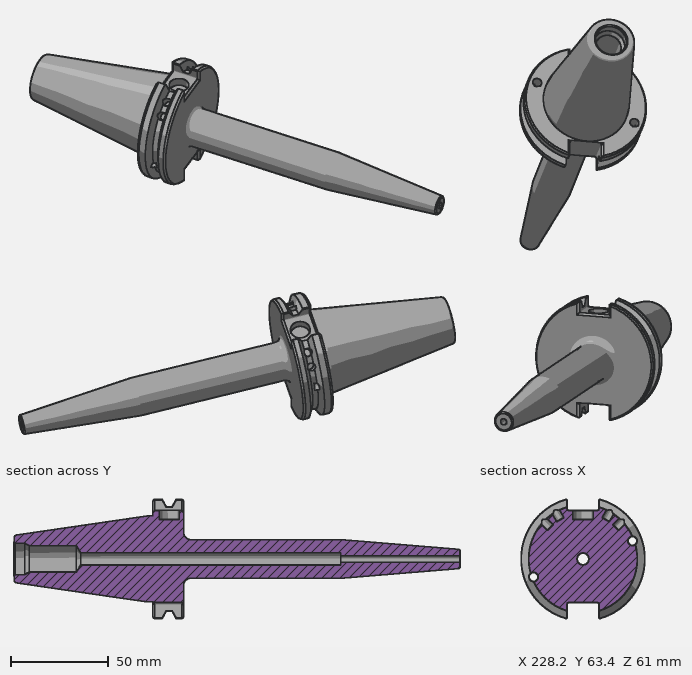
import cadquery as cq
import math

total_length = 228.2
gauge_x = 68.2
gauge_radius = 22.1
taper_ratio = 7 / 24
small_end_radius = gauge_radius - gauge_x * taper_ratio / 2
small_end_fillet = 1.5

flange_start = 71.0
flange_width = 16.0
flange_end = flange_start + flange_width
flange_radius = 31.7
rim_bevel_length = 1.1
rim_bevel_depth = 0.7
groove_x = 79.5
groove_floor_radius = 27.8
groove_floor_width = 3.0
groove_flank_angle = 30

shank_radius = 10.0
shank_fillet = 3.5
nose_tip_radius = 5.0
nose_chamfer = 0.7
nose_length = 61.2

socket_radius = 8.0
socket_mouth_chamfer = 0.7
socket_depth = 5.5
thread_radius = 6.6
thread_end = 32.0
thread_lead_angle = 30
drill_point_angle = 118
channel_radius = 3.0
tip_bore_radius = 1.5

slot_width = 16.2
upper_slot_floor = 24.9
lower_slot_floor = 22.4
slot_end_chamfer = 1.1
slot_rim_chamfer = 0.5
slot_corner_fillet = 1.0
slot_clearance = 2.3

pocket_diameter = 10.0
pocket_depth = 4.5

coolant_diameter = 4.5
coolant_circle_radius = 27.0
coolant_angle = 20
screw_diameter = 4.0
screw_depth = 4.5
screw_angles = (30, 46)


def turned_body():
    """Taper, flange, shank and nose turned about the X axis."""
    floor_half = groove_floor_width / 2
    flank_rise = flange_radius - groove_floor_radius
    lip_half = floor_half + flank_rise * math.tan(math.radians(groove_flank_angle))
    outline = (
        cq.Workplane("XZ")
        .lineTo(0, small_end_radius)
        .lineTo(gauge_x, gauge_radius)
        .lineTo(flange_start, gauge_radius)
        .lineTo(flange_start, flange_radius - rim_bevel_depth)
        .lineTo(flange_start + rim_bevel_length, flange_radius)
        .lineTo(groove_x - lip_half, flange_radius)
        .lineTo(groove_x - floor_half, groove_floor_radius)
        .lineTo(groove_x + floor_half, groove_floor_radius)
        .lineTo(groove_x + lip_half, flange_radius)
        .lineTo(flange_end - rim_bevel_length, flange_radius)
        .lineTo(flange_end, flange_radius - rim_bevel_depth)
        .lineTo(flange_end, shank_radius + shank_fillet)
        .radiusArc((flange_end + shank_fillet, shank_radius), -shank_fillet)
        .lineTo(total_length - nose_length, shank_radius)
        .lineTo(total_length, nose_tip_radius)
        .lineTo(total_length, 0)
        .close()
    )
    body = outline.revolve(360, (0, 0, 0), (1, 0, 0))
    body = body.faces("<X").edges().fillet(small_end_fillet)
    return body.faces(">X").edges().chamfer(nose_chamfer)


def axial_bores():
    """Stepped bore from the small end of the taper through to the nose tip."""
    lead_length = (socket_radius - thread_radius) / math.tan(math.radians(thread_lead_angle))
    point_length = (thread_radius - channel_radius) / math.tan(math.radians(drill_point_angle / 2))
    tip_bore_start = total_length - nose_length
    return (
        cq.Workplane("XZ")
        .lineTo(0, socket_radius + socket_mouth_chamfer)
        .lineTo(socket_mouth_chamfer, socket_radius)
        .lineTo(socket_depth, socket_radius)
        .lineTo(socket_depth + lead_length, thread_radius)
        .lineTo(thread_end, thread_radius)
        .lineTo(thread_end + point_length, channel_radius)
        .lineTo(tip_bore_start, channel_radius)
        .lineTo(tip_bore_start, tip_bore_radius)
        .lineTo(total_length, tip_bore_radius)
        .lineTo(total_length, 0)
        .close()
        .revolve(360, (0, 0, 0), (1, 0, 0))
    )


def slot(floor, floor_end_chamfer):
    """Cutter for a drive slot opening toward +Z, flared where it meets both flange faces."""
    half = slot_width / 2
    top = flange_radius + slot_clearance
    rim_half = half + slot_rim_chamfer
    rim_height = math.sqrt(flange_radius**2 - rim_half**2)
    bevel_start = rim_height - slot_rim_chamfer
    top_half = half + top - bevel_start
    profile = [(half, floor), (half, bevel_start), (top_half, top)]
    profile += [(-y, z) for y, z in reversed(profile)]
    cutter = cq.Workplane("YZ", origin=(flange_start, 0, 0)).polyline(profile).close()
    cutter = cutter.extrude(flange_width)
    cutter = cutter.edges("|X and <Z").fillet(slot_corner_fillet)

    flare_bottom = floor - floor_end_chamfer
    flare_height = top + slot_end_chamfer - flare_bottom
    flare = (
        cq.Workplane("YZ")
        .center(0, flare_bottom + flare_height / 2)
        .rect(slot_width + 2 * slot_end_chamfer, flare_height)
        .extrude(slot_end_chamfer, taper=45)
    )
    front_flare = flare.translate((flange_start, 0, 0))
    back_flare = flare.mirror("YZ").translate((flange_end, 0, 0))
    return cutter.union(front_flare).union(back_flare)


def slot_floor_pocket():
    """Round blind pocket in the upper slot floor, in line with the groove."""
    pocket = cq.Workplane("XY", origin=(groove_x, 0, upper_slot_floor - pocket_depth))
    return pocket.circle(pocket_diameter / 2).extrude(pocket_depth)


def radial_hole(angle):
    """Blind hole in the groove floor, tilted from the Z axis toward +Y."""
    bottom = groove_floor_radius - screw_depth
    hole = cq.Workplane("XY", origin=(groove_x, 0, bottom)).circle(screw_diameter / 2)
    hole = hole.extrude(flange_radius - bottom)
    return hole.rotate((0, 0, 0), (1, 0, 0), -angle)


def coolant_hole(angle):
    """Hole along X from the front flange face into the groove."""
    y = coolant_circle_radius * math.cos(math.radians(angle))
    z = coolant_circle_radius * math.sin(math.radians(angle))
    return (
        cq.Workplane("YZ", origin=(flange_start, 0, 0))
        .center(y, z)
        .circle(coolant_diameter / 2)
        .extrude(groove_x - flange_start)
    )


result = turned_body().cut(axial_bores())
result = result.cut(slot(upper_slot_floor, slot_end_chamfer))
result = result.cut(slot(lower_slot_floor, 0).mirror("XY"))
result = result.cut(slot_floor_pocket())
for angle in screw_angles:
    result = result.cut(radial_hole(angle)).cut(radial_hole(-angle))
for angle in (coolant_angle, coolant_angle + 180):
    result = result.cut(coolant_hole(angle))